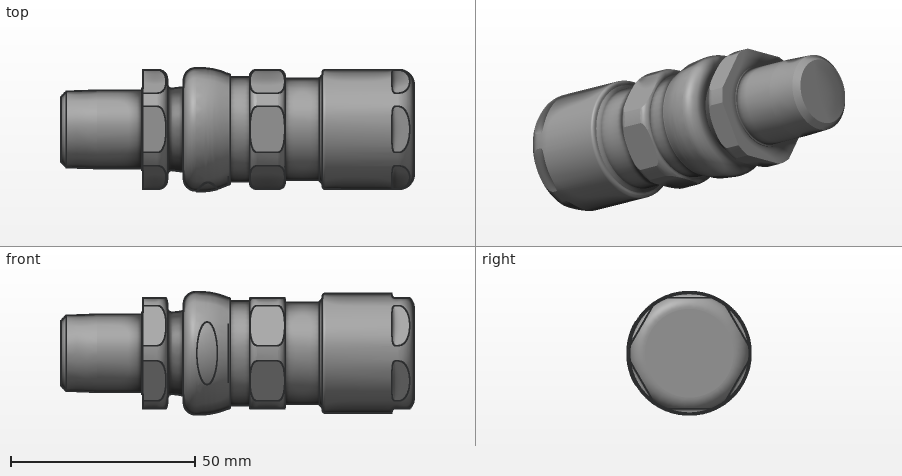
import cadquery as cq
import math

total_length = 96.0

across_flats = 30.0
corner_diameter = 32.5

stud_tip_diameter = 17.6
taper_start_diameter = 20.7
stud_diameter = 21.3
tip_chamfer_length = 1.5
taper_end_x = 9.9
hex_x = 22.3
hex_end_x = 29.0
hex_rounding = 2.7
neck_diameter = 22.3
neck_end_diameter = 23.0
neck_fillet = 1.15
neck_end_fillet = 0.2

washer_diameter = 22.3
washer_thickness = 0.3

collar_x = 33.3
collar_end_x = 46.1
collar_diameter = 33.5
collar_front_rounding = 3.5
collar_back_diameter = 30.1
collar_back_rounding = 0.6
collar_crown_sag = 0.3

inlay_x = 39.7
inlay_width = 5.6
inlay_height = 17.0
inlay_raise = 0.14
inlay_floor_radius = 13.0

front_barrel_diameter = 28.5
rear_barrel_diameter = 27.7
body_hex_x = 51.3
body_hex_end_x = 60.9
body_hex_rounding = (corner_diameter - front_barrel_diameter) / 2

seal_x = 70.2
seal_back_diameter = 29.8

cap_x = 71.0
cap_front_rounding = 0.9
cap_back_rounding = 4.2
cap_flats_x = 89.9
cap_flats_fillet = 0.9
flats_cutter_diameter = 2 * corner_diameter


def revolve_about_x(profile):
    """Turn a closed (x, radius) profile about the X axis."""
    return profile.close().revolve(360, (0, 0, 0), (1, 0, 0))


def cylinder(start_x, end_x, diameter):
    return cq.Workplane("YZ", origin=(start_x, 0, 0)).circle(diameter / 2).extrude(end_x - start_x)


def hexagon(start_x, end_x):
    """Hexagonal bar with flats at the top and bottom and corners at +Y and -Y."""
    sharp_diameter = across_flats / math.cos(math.pi / 6)
    return cq.Workplane("YZ", origin=(start_x, 0, 0)).polygon(6, sharp_diameter).extrude(end_x - start_x)


def rounded_hexagon(start_x, end_x, rounded_ends, rounding):
    """Hexagon with turned-down corners, rounded over at the selected ends."""
    blank = cylinder(start_x, end_x, corner_diameter).faces(rounded_ends).edges().fillet(rounding)
    return blank.intersect(hexagon(start_x, end_x))


def make_coupling():
    stud = revolve_about_x(
        cq.Workplane("XY")
        .moveTo(0, 0)
        .lineTo(0, stud_tip_diameter / 2)
        .lineTo(tip_chamfer_length, taper_start_diameter / 2)
        .lineTo(taper_end_x, stud_diameter / 2)
        .lineTo(hex_x, stud_diameter / 2)
        .lineTo(hex_x, 0)
    )
    nut = rounded_hexagon(hex_x, hex_end_x, ">X", hex_rounding)
    neck_start_x = hex_end_x + neck_fillet
    neck_shoulder_x = collar_x - neck_end_fillet
    neck = revolve_about_x(
        cq.Workplane("XY")
        .moveTo(hex_end_x, 0)
        .lineTo(hex_end_x, neck_diameter / 2 + neck_fillet)
        .radiusArc((neck_start_x, neck_diameter / 2), -neck_fillet)
        .lineTo(neck_shoulder_x, neck_end_diameter / 2)
        .lineTo(collar_x, neck_end_diameter / 2 - neck_end_fillet)
        .lineTo(collar_x, 0)
    )
    return stud.union(nut).union(neck)


def make_washer():
    start_x = hex_x - washer_thickness
    return cylinder(start_x, hex_x, washer_diameter).cut(cylinder(start_x, hex_x, stud_diameter))


def make_full_collar(raise_height=0):
    """Collar without its recess, with a rounded front and a crown that falls off towards the back.

    A raise height above zero lifts the crown by that much.
    """
    peak_radius = collar_diameter / 2 + raise_height
    back_radius = collar_back_diameter / 2 + raise_height
    crown_x = collar_x + collar_front_rounding
    crown_end_x = collar_end_x - collar_back_rounding
    crown_middle = ((crown_x + crown_end_x) / 2, peak_radius - collar_crown_sag)
    return revolve_about_x(
        cq.Workplane("XY")
        .moveTo(collar_x, 0)
        .lineTo(collar_x, peak_radius - collar_front_rounding)
        .radiusArc((crown_x, peak_radius), collar_front_rounding)
        .threePointArc(crown_middle, (crown_end_x, back_radius))
        .radiusArc((collar_end_x, back_radius - collar_back_rounding), collar_back_rounding)
        .lineTo(collar_end_x, 0)
    )


def make_inlay_plug():
    """Elliptical plug that reaches from the recess floor out past the collar."""
    return (
        cq.Workplane("XZ", origin=(inlay_x, -inlay_floor_radius, 0))
        .ellipse(inlay_width / 2, inlay_height / 2)
        .extrude(collar_diameter)
    )


def make_body():
    front_barrel = cylinder(collar_end_x, body_hex_x, front_barrel_diameter)
    rear_barrel = cylinder(body_hex_end_x, cap_x, rear_barrel_diameter)
    nut = rounded_hexagon(body_hex_x, body_hex_end_x, "<X or >X", body_hex_rounding)
    return nut.union(front_barrel).union(rear_barrel)


def make_seal():
    return revolve_about_x(
        cq.Workplane("XY")
        .moveTo(seal_x, rear_barrel_diameter / 2)
        .lineTo(cap_x, seal_back_diameter / 2)
        .lineTo(cap_x, rear_barrel_diameter / 2)
    )


def make_cap():
    cap = cylinder(cap_x, total_length, corner_diameter)
    cap = cap.faces("<X").edges().fillet(cap_front_rounding)
    cap = cap.faces(">X").edges().fillet(cap_back_rounding)
    hex_core = hexagon(cap_flats_x, total_length)
    flats = cylinder(cap_flats_x, total_length, flats_cutter_diameter).cut(hex_core)
    flats = flats.faces("<X").edges("%LINE").fillet(cap_flats_fillet)
    return cap.cut(flats)


coupling = make_coupling()
washer = make_washer()
inlay_plug = make_inlay_plug()
inlay = inlay_plug.intersect(make_full_collar(inlay_raise))
collar = make_full_collar().cut(inlay_plug)
body = make_body()
seal = make_seal()
cap = make_cap()

result = cq.Compound.makeCompound(
    [coupling.val(), washer.val(), collar.val(), inlay.val(), body.val(), seal.val(), cap.val()]
)